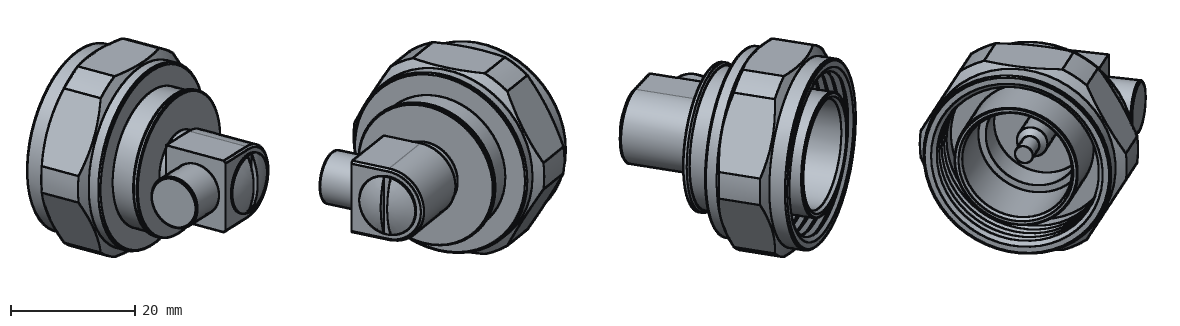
import cadquery as cq
import math


nut_start = 0.6
nut_end = 14.78
nut_diameter = 31.35
nut_edge_chamfer = 0.28
hex_flats = 32.0
hex_corner_diameter = 34.58
hex_start = 3.55
hex_end = 12.65
hex_bevel_length = 1.0

thread_minor_diameter = 27.05
thread_major_diameter = 29.07
mouth_diameter = 28.65
mouth_depth = 0.6
thread_pitch = 1.52
groove_count = 4
groove_root_width = 0.2
cavity_floor = 9.95

body_diameter = 23.67
flange_diameter = 24.57
flange_start = 18.8
flange_end = 19.83
flange_front_chamfer = 0.35
flange_rear_chamfer = 0.15

sleeve_diameter = 20.6
sleeve_edge_chamfer = 0.15
sleeve_bore_diameter = 18.3
sleeve_mouth_diameter = 19.17
sleeve_mouth_depth = 0.7
sleeve_floor = 10.75
recess_diameter = 15.85
recess_floor = 15.92
pin_base_diameter = 5.1
pin_tip_diameter = 2.98
pin_start = 4.9
pin_cone_start = 9.0
pin_cone_length = 1.07

neck_diameter = 11.6
block_start = 21.7
block_end = 33.15
block_width = 12.65
block_front_depth = 6.65
block_edge_chamfer = 0.38

ferrule_diameter = 8.9
ferrule_reach = 13.2
ferrule_chamfer = 0.25

cap_diameter = 10.18
cap_dome_start = 33.45
cap_end = 34.6
cap_slot_width = 1.18
cap_slot_floor = cap_dome_start


def rod(diameter, start, end):
    """Cylinder along the connector axis."""
    return cq.Workplane("YZ", origin=(start, 0, 0)).circle(diameter / 2).extrude(end - start)


def cone(start_diameter, end_diameter, start, end):
    """Truncated cone along the connector axis."""
    outline = [(start, 0), (start, start_diameter / 2), (end, end_diameter / 2), (end, 0)]
    return cq.Workplane("XY").polyline(outline).close().revolve(360, (0, 0, 0), (1, 0, 0))


def make_hexagon():
    corner_distance = hex_flats / math.cos(math.pi / 6)
    prism = (
        cq.Workplane("YZ", origin=(hex_start, 0, 0))
        .polygon(6, corner_distance)
        .extrude(hex_end - hex_start)
    )
    front_bevel_end = hex_start + hex_bevel_length
    rear_bevel_start = hex_end - hex_bevel_length
    envelope = (
        cone(nut_diameter, hex_corner_diameter, hex_start, front_bevel_end)
        .union(rod(hex_corner_diameter, front_bevel_end, rear_bevel_start))
        .union(cone(hex_corner_diameter, nut_diameter, rear_bevel_start, hex_end))
    )
    return prism.intersect(envelope)


def make_thread_groove(start):
    """Ring of triangular section with a narrow flat root."""
    minor_radius = thread_minor_diameter / 2
    major_radius = thread_major_diameter / 2
    end = start + thread_pitch
    middle = start + thread_pitch / 2
    section = [
        (start, minor_radius),
        (middle - groove_root_width / 2, major_radius),
        (middle + groove_root_width / 2, major_radius),
        (end, minor_radius),
    ]
    return cq.Workplane("XY").polyline(section).close().revolve(360, (0, 0, 0), (1, 0, 0))


def make_nut():
    nut = rod(nut_diameter, nut_start, nut_end).edges().chamfer(nut_edge_chamfer)
    nut = nut.union(make_hexagon())
    nut = nut.cut(rod(thread_minor_diameter, nut_start, cavity_floor))
    thread_start = nut_start + mouth_depth
    nut = nut.cut(cone(mouth_diameter, thread_minor_diameter, nut_start, thread_start))
    for index in range(groove_count):
        nut = nut.cut(make_thread_groove(thread_start + index * thread_pitch))
    return nut


def make_rear_body():
    body = rod(body_diameter, cavity_floor, flange_end)
    flange = (
        rod(flange_diameter, flange_start, flange_end)
        .faces("<X").edges().chamfer(flange_front_chamfer)
        .faces(">X").edges().chamfer(flange_rear_chamfer)
    )
    return body.union(flange)


def make_sleeve():
    return rod(sleeve_diameter, 0, cavity_floor).faces("<X").edges().chamfer(sleeve_edge_chamfer)


def make_sleeve_cavity():
    mouth = cone(sleeve_mouth_diameter, sleeve_bore_diameter, 0, sleeve_mouth_depth)
    bore = rod(sleeve_bore_diameter, sleeve_mouth_depth, sleeve_floor)
    recess = rod(recess_diameter, sleeve_floor, recess_floor)
    return mouth.union(bore).union(recess)


def make_pin():
    cone_end = pin_cone_start + pin_cone_length
    tip = rod(pin_tip_diameter, pin_start, pin_cone_start)
    shoulder = cone(pin_tip_diameter, pin_base_diameter, pin_cone_start, cone_end)
    base = rod(pin_base_diameter, cone_end, recess_floor)
    return tip.union(shoulder).union(base)


def make_elbow():
    half_width = block_width / 2
    block = (
        cq.Workplane("YZ", origin=(block_start, 0, 0))
        .moveTo(-block_front_depth, -half_width)
        .lineTo(0, -half_width)
        .threePointArc((half_width, 0), (0, half_width))
        .lineTo(-block_front_depth, half_width)
        .close()
        .extrude(block_end - block_start)
        .faces(">X").edges("not <Y").chamfer(block_edge_chamfer)
    )
    ferrule = (
        cq.Workplane("XZ", origin=((block_start + block_end) / 2, 0, 0))
        .circle(ferrule_diameter / 2)
        .extrude(ferrule_reach)
        .faces("<Y").edges().chamfer(ferrule_chamfer)
    )
    neck = rod(neck_diameter, flange_end, block_start)
    return neck.union(block).union(ferrule)


def make_cap():
    cap_radius = cap_diameter / 2
    rise = cap_end - cap_dome_start
    dome_radius = (cap_radius**2 + rise**2) / (2 * rise)
    half_angle = math.asin(cap_radius / dome_radius) / 2
    arc_middle = (
        cap_end - dome_radius * (1 - math.cos(half_angle)),
        dome_radius * math.sin(half_angle),
    )
    cap = (
        cq.Workplane("XY")
        .moveTo(block_end, 0)
        .lineTo(block_end, cap_radius)
        .lineTo(cap_dome_start, cap_radius)
        .threePointArc(arc_middle, (cap_end, 0))
        .close()
        .revolve(360, (0, 0, 0), (1, 0, 0))
    )
    slot = cq.Workplane("XY").box(
        cap_end - cap_slot_floor, cap_slot_width, cap_diameter, centered=(False, True, True)
    )
    return cap.cut(slot.translate((cap_slot_floor, 0, 0)))


shell = make_nut().union(make_rear_body()).union(make_sleeve()).cut(make_sleeve_cavity())
result = shell.union(make_pin()).union(make_elbow()).union(make_cap())